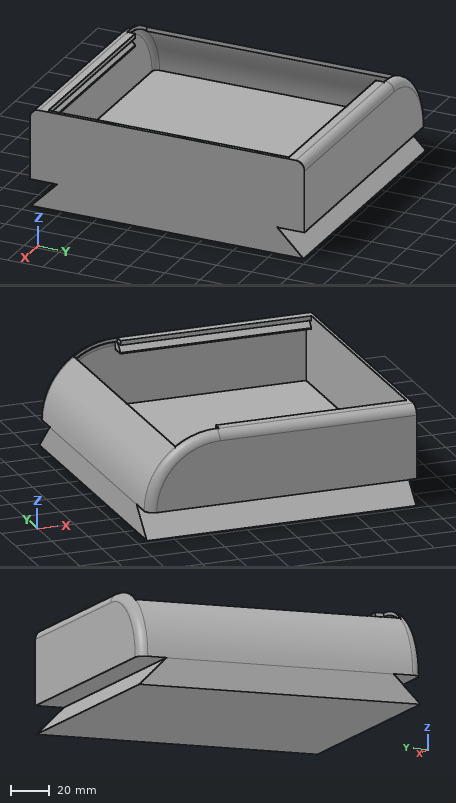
import cadquery as cq

length = 148.5
width = 156.0
total_height = 54.9
nose_radius = 40.0
edge_radius = 5.0
wall = 2.0

body_height = nose_radius
foot_height = total_height - body_height
foot_bottom_width = 155.0
foot_top_width = foot_bottom_width - 2 * foot_height

opening_start = 17.3
opening_half_width = width / 2 - edge_radius
rail_start = 41.3
rail_reach = 4.7
lip_thickness = 2.5
groove_mouth = 4.0
rail_nose = 0.6


def rounded_body(inset):
    """Body with a quarter-round nose and rounded upper side edges, shrunk by inset."""
    bottom = inset
    top = body_height - inset
    back = length - inset
    radius = nose_radius - inset
    half_width = width / 2 - inset
    profile = (
        cq.Workplane("XZ", origin=(0, half_width, 0))
        .moveTo(nose_radius, top)
        .lineTo(back, top)
        .lineTo(back, bottom)
        .lineTo(nose_radius - (radius**2 - bottom**2) ** 0.5, bottom)
        .radiusArc((nose_radius, top), radius)
        .close()
    )
    body = profile.extrude(2 * half_width)
    side_edges = body.faces("<Y or >Y").edges(">Z or %CIRCLE")
    return body.newObject(side_edges.vals()).fillet(edge_radius - inset)


def top_opening():
    """Straight cut through the top skin, between the rounded edges."""
    opening_length = length - wall - opening_start
    return (
        cq.Workplane("XY", origin=(opening_start, 0, wall))
        .box(opening_length, 2 * opening_half_width, body_height, centered=(False, True, False))
    )


def lid_rail():
    """Rail on the +Y side: a flat lip over a groove with a sloping lower flank."""
    tip = opening_half_width - rail_reach
    root = width / 2 - wall / 2
    lip_bottom = body_height - lip_thickness
    flank_end = lip_bottom - groove_mouth
    rail_bottom = flank_end - rail_nose
    return (
        cq.Workplane("YZ", origin=(rail_start, 0, 0))
        .polyline([
            (root, body_height),
            (tip, body_height),
            (tip, lip_bottom),
            (tip + groove_mouth, lip_bottom),
            (tip, flank_end),
            (tip, rail_bottom),
            (root, rail_bottom),
        ])
        .close()
        .extrude(length - rail_start)
        .intersect(rounded_body(0))
    )


def dovetail_foot():
    """Foot that widens downwards, along the full length."""
    return (
        cq.Workplane("YZ")
        .polyline([
            (-foot_top_width / 2, 0),
            (foot_top_width / 2, 0),
            (foot_bottom_width / 2, -foot_height),
            (-foot_bottom_width / 2, -foot_height),
        ])
        .close()
        .extrude(length)
    )


tray = rounded_body(0).cut(rounded_body(wall)).cut(top_opening())
rail = lid_rail()
result = tray.union(rail).union(rail.mirror("XZ")).union(dovetail_foot())